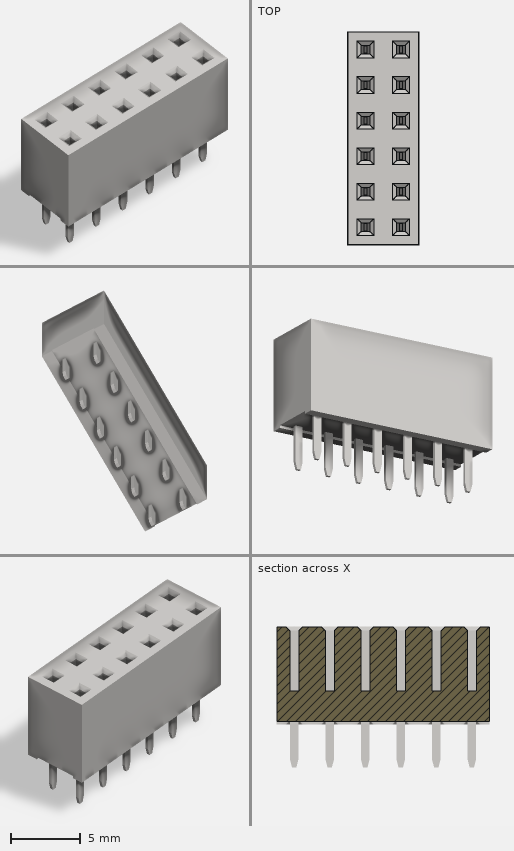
import cadquery as cq

LENGTH = 15.24
ROWS = 6
COLUMNS = 2
PITCH = LENGTH / ROWS
WIDTH = COLUMNS * PITCH
BODY_HEIGHT = 7.0
PIN_PROJECTION = 3.11

CHANNEL_WIDTH = 3.43
CHANNEL_DEPTH = 0.2

MOUTH_SIZE = 1.19
SHAFT_SIZE = 0.61
MOUTH_DEPTH = (MOUTH_SIZE - SHAFT_SIZE) / 2
SOCKET_DEPTH = 4.57

PIN_THICKNESS = 0.25
PIN_WIDTH = 0.61
TIP_WIDTH = 0.3
TIP_LENGTH = 0.6

BLADE_WIDTH = 0.52
BLADE_HEIGHT = 0.3

SOCKET_FLOOR = BODY_HEIGHT - SOCKET_DEPTH
BLADE_TOP = SOCKET_FLOOR + BLADE_HEIGHT


def make_body():
    """Block standing on Z = 0 with the channel cut along its underside."""
    block = cq.Workplane("XY").box(WIDTH, LENGTH, BODY_HEIGHT, centered=(True, True, False))
    channel = cq.Workplane("XY").box(CHANNEL_WIDTH, LENGTH, CHANNEL_DEPTH, centered=(True, True, False))
    return block.cut(channel)


def make_socket():
    """Cutter for one socket, centred on the Z axis."""
    shaft = (
        cq.Workplane("XY", origin=(0, 0, SOCKET_FLOOR))
        .rect(SHAFT_SIZE, SHAFT_SIZE)
        .extrude(SOCKET_DEPTH)
    )
    mouth = (
        cq.Workplane("XY", origin=(0, 0, BODY_HEIGHT - MOUTH_DEPTH))
        .rect(SHAFT_SIZE, SHAFT_SIZE)
        .workplane(offset=MOUTH_DEPTH)
        .rect(MOUTH_SIZE, MOUTH_SIZE)
        .loft()
    )
    return shaft.union(mouth)


def make_pin():
    """One pin centred on the Z axis, from its tip up to the contact blade."""
    half_width = PIN_WIDTH / 2
    half_tip = TIP_WIDTH / 2
    half_blade = BLADE_WIDTH / 2
    taper_start = TIP_LENGTH - PIN_PROJECTION
    outline = [
        (-half_tip, -PIN_PROJECTION),
        (half_tip, -PIN_PROJECTION),
        (half_width, taper_start),
        (half_width, SOCKET_FLOOR),
        (half_blade, SOCKET_FLOOR),
        (half_blade, BLADE_TOP),
        (-half_blade, BLADE_TOP),
        (-half_blade, SOCKET_FLOOR),
        (-half_width, SOCKET_FLOOR),
        (-half_width, taper_start),
    ]
    return cq.Workplane("YZ").polyline(outline).close().extrude(PIN_THICKNESS / 2, both=True)


result = make_body()
socket = make_socket()
pin = make_pin()
for column in range(COLUMNS):
    for row in range(ROWS):
        x = (column - (COLUMNS - 1) / 2) * PITCH
        y = (row - (ROWS - 1) / 2) * PITCH
        result = result.cut(socket.translate((x, y, 0))).union(pin.translate((x, y, 0)))